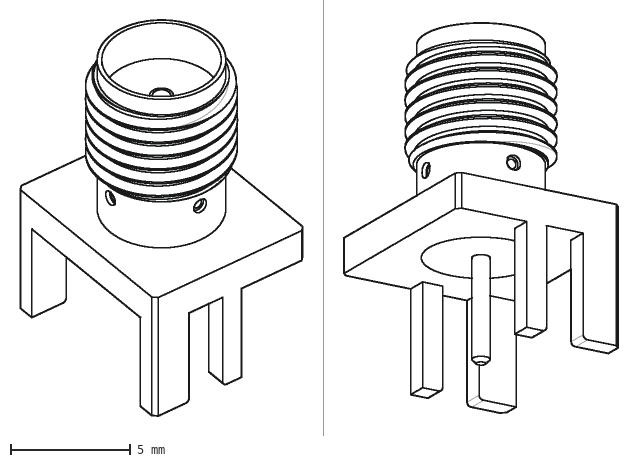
import cadquery as cq
import math

FLANGE_X = 9.51
FLANGE_Y = 7.92
FLANGE_BOTTOM = 4.71
FLANGE_TOP = 6.3
CORNER_CHAMFER = 0.2
LEG_X = 1.0
FRONT_LEG_Y = 1.82
REAR_LEG_Y = 0.98
REAR_LEG_CENTRE_Y = 0.11
LEG_FILLET = 0.2

TOTAL_HEIGHT = 14.2
BARREL_RADIUS = 2.7
BORE_RADIUS = 2.5
THREAD_BOTTOM = 8.86
THREAD_TOP = 13.38
THREAD_PITCH = 0.71
THREAD_ROOT_RADIUS = 2.81
THREAD_CREST_RADIUS = 3.18
THREAD_END_RADIUS = 2.84
CREST_FLAT = 0.09
FLANK_ANGLE = 30.0
CREST_HEIGHT_AT_X = 9.5
LEAD_TURNS = 2
OVERLAP = 0.07

SIDE_HOLE_HEIGHT = 8.11
SIDE_HOLE_RADIUS = 0.33
DIMPLE_RADIUS = 0.21
SIDE_ANGLES = [0, 90, 180, 270]

DIELECTRIC_TOP = 12.3
SOCKET_RADIUS = 0.5
PIN_RADIUS = 0.38
PIN_TOP = 9.94
PIN_CHAMFER = 0.18


def cylinder(radius, bottom, top):
    return cq.Workplane("XY").workplane(offset=bottom).circle(radius).extrude(top - bottom)


def make_thread():
    """Right-handed ridge on a core, with 45 degree lead-in cones at both ends."""
    start = CREST_HEIGHT_AT_X - LEAD_TURNS * THREAD_PITCH
    turns = math.ceil((THREAD_TOP - start) / THREAD_PITCH) + 1
    length = turns * THREAD_PITCH
    inner_radius = THREAD_ROOT_RADIUS - OVERLAP
    half_crest = CREST_FLAT / 2
    half_base = half_crest + (THREAD_CREST_RADIUS - inner_radius) * math.tan(math.radians(FLANK_ANGLE))
    helix = cq.Wire.makeHelix(THREAD_PITCH, length, inner_radius).translate(cq.Vector(0, 0, start))
    ridge = (
        cq.Workplane("XZ")
        .polyline([
            (inner_radius, start - half_base),
            (THREAD_CREST_RADIUS, start - half_crest),
            (THREAD_CREST_RADIUS, start + half_crest),
            (inner_radius, start + half_base),
        ])
        .close()
        .sweep(cq.Workplane(helix), isFrenet=True)
    )
    lead_in = THREAD_CREST_RADIUS + OVERLAP - THREAD_END_RADIUS
    envelope = cylinder(THREAD_CREST_RADIUS + OVERLAP, THREAD_BOTTOM, THREAD_TOP)
    envelope = envelope.faces("<Z or >Z").chamfer(lead_in)
    core = cylinder(THREAD_ROOT_RADIUS, THREAD_BOTTOM, THREAD_TOP)
    return core.union(ridge.intersect(envelope))


def make_leg(side, y_min, y_max, rounded_edge):
    """Leg flush with the flange end at side = -1 or +1, with one rounded lower edge."""
    x_centre = side * (FLANGE_X - LEG_X) / 2
    leg = (
        cq.Workplane("XY")
        .center(x_centre, (y_min + y_max) / 2)
        .rect(LEG_X, y_max - y_min)
        .extrude(FLANGE_BOTTOM)
    )
    return leg.faces("<Z").edges(rounded_edge).fillet(LEG_FILLET)


def make_base():
    base = (
        cq.Workplane("XY")
        .workplane(offset=FLANGE_BOTTOM)
        .rect(FLANGE_X, FLANGE_Y)
        .extrude(FLANGE_TOP - FLANGE_BOTTOM)
    )
    front = -FLANGE_Y / 2
    rear_leg_min = REAR_LEG_CENTRE_Y - REAR_LEG_Y / 2
    rear_leg_max = REAR_LEG_CENTRE_Y + REAR_LEG_Y / 2
    for side in (-1, 1):
        base = base.union(make_leg(side, front, front + FRONT_LEG_Y, ">Y"))
        base = base.union(make_leg(side, rear_leg_min, rear_leg_max, "<Y"))
    outline = (
        cq.Workplane("XY")
        .rect(FLANGE_X, FLANGE_Y)
        .extrude(FLANGE_TOP)
        .edges("|Z")
        .chamfer(CORNER_CHAMFER)
    )
    return base.intersect(outline)


def make_housing():
    barrel = cylinder(BARREL_RADIUS, FLANGE_TOP, TOTAL_HEIGHT)
    housing = make_base().union(barrel).union(make_thread())
    housing = housing.cut(cylinder(BORE_RADIUS, FLANGE_BOTTOM, TOTAL_HEIGHT))
    for plane in ("XZ", "YZ"):
        drill = (
            cq.Workplane(plane)
            .center(0, SIDE_HOLE_HEIGHT)
            .circle(SIDE_HOLE_RADIUS)
            .extrude(THREAD_CREST_RADIUS, both=True)
        )
        housing = housing.cut(drill)
    return housing


def make_dielectric():
    """Insulator filling the bore, with a stepped hole for the contact."""
    dielectric = cylinder(BORE_RADIUS, FLANGE_BOTTOM, DIELECTRIC_TOP)
    dielectric = dielectric.cut(cylinder(PIN_RADIUS, FLANGE_BOTTOM, FLANGE_TOP))
    dielectric = dielectric.cut(cylinder(SOCKET_RADIUS, FLANGE_TOP, DIELECTRIC_TOP))
    for angle in SIDE_ANGLES:
        dimple = (
            cq.Workplane("XY")
            .sphere(DIMPLE_RADIUS)
            .translate((BORE_RADIUS, 0, SIDE_HOLE_HEIGHT))
            .rotate((0, 0, 0), (0, 0, 1), angle)
        )
        dielectric = dielectric.cut(dimple)
    return dielectric


def make_socket():
    """Contact sleeve, open at the top to receive a mating pin."""
    return cylinder(SOCKET_RADIUS, FLANGE_TOP, DIELECTRIC_TOP).cut(
        cylinder(PIN_RADIUS, FLANGE_TOP, DIELECTRIC_TOP)
    )


def make_pin():
    """Solder pin seated in the lower part of the sleeve."""
    return cylinder(PIN_RADIUS, 0, PIN_TOP).faces("<Z").chamfer(PIN_CHAMFER)


housing = make_housing()
dielectric = make_dielectric()
socket = make_socket()
pin = make_pin()

result = cq.Compound.makeCompound([
    housing.solids().val(),
    dielectric.solids().val(),
    socket.solids().val(),
    pin.solids().val(),
])